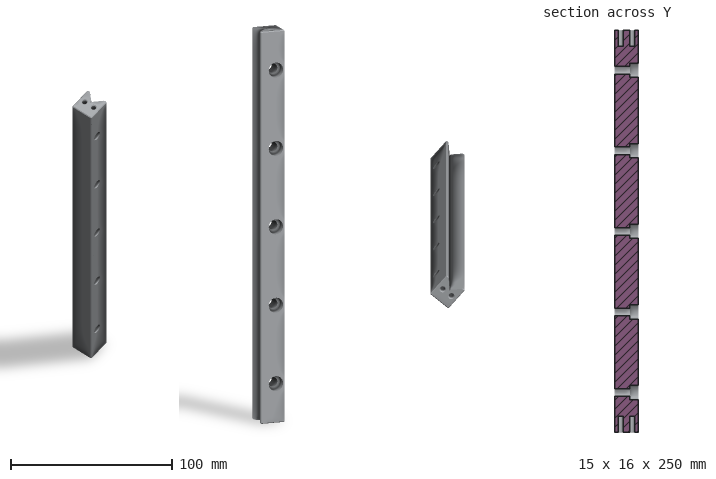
import cadquery as cq

width = 15.0
depth = 16.0
length = 250.0
edge_chamfer = 0.5

groove_half_width = 6.0
groove_depth = groove_half_width
relief_width = 1.0
relief_depth = 0.5

mount_count = 5
mount_pitch = 50.0
mount_y = -2.0
mount_diameter = 6.0
counterbore_diameter = 9.5
counterbore_depth = 5.2

end_hole_x = 3.5
end_hole_y = -0.5
end_hole_diameter = 3.0
end_hole_depth = 10.0
countersink_diameter = 4.0
countersink_angle = 90.0


def make_body():
    """Rectangular bar with every outer edge chamfered."""
    return cq.Workplane("XY").box(width, depth, length).edges().chamfer(edge_chamfer)


def cut_groove(body):
    """Cut the V groove and its relief slot over the full length."""
    face_y = depth / 2
    root_y = face_y - groove_depth
    floor_y = root_y - relief_depth
    vee = (
        cq.Workplane("XY")
        .polyline([(-groove_half_width, face_y), (0, root_y), (groove_half_width, face_y)])
        .close()
        .extrude(length / 2, both=True)
    )
    relief = (
        cq.Workplane("XY")
        .center(0, (floor_y + face_y) / 2)
        .rect(relief_width, face_y - floor_y)
        .extrude(length / 2, both=True)
    )
    return body.cut(vee).cut(relief)


def drill_end(body, end):
    """Drill the two countersunk blind holes in the selected end face."""
    return (
        body.faces(end)
        .workplane(origin=(0, end_hole_y, 0))
        .pushPoints([(-end_hole_x, 0), (end_hole_x, 0)])
        .cskHole(end_hole_diameter, countersink_diameter, countersink_angle, depth=end_hole_depth)
    )


def drill_mounts(body):
    """Drill the row of mounting holes, counterbored from the -X face."""
    return (
        body.faces("<X")
        .workplane(origin=(0, mount_y, 0))
        .rarray(2.5, mount_pitch, 1, mount_count)
        .cboreHole(mount_diameter, counterbore_diameter, counterbore_depth)
    )


result = cut_groove(make_body())
for end_face in (">Z", "<Z"):
    result = drill_end(result, end_face)
result = drill_mounts(result)